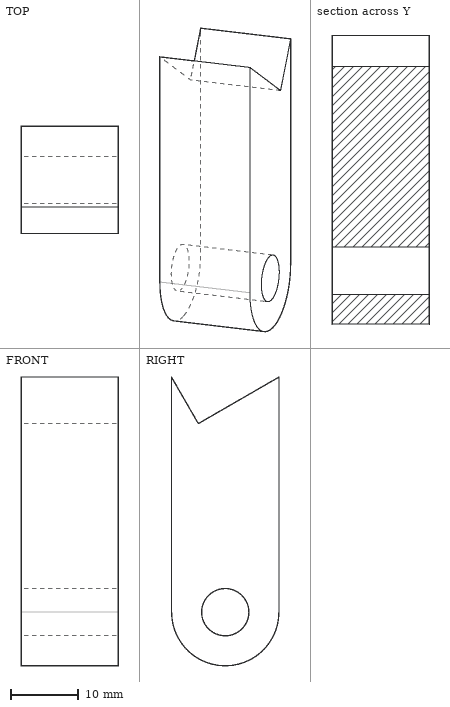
import cadquery as cq
import math

thickness = 14.5
width = 16.0
height = 43.0
hole_diameter = 7.0
notch_slope_angle = 30.0

foot_radius = width / 2
tip_z = height - foot_radius

notch_slope = math.radians(notch_slope_angle)
long_face_length = width * math.cos(notch_slope)
notch_y = foot_radius - long_face_length * math.cos(notch_slope)
notch_z = tip_z - long_face_length * math.sin(notch_slope)


def make_body():
    """Bar with a half-round foot and a lopsided V notch across its top."""
    return (
        cq.Workplane("YZ")
        .moveTo(-foot_radius, 0)
        .threePointArc((0, -foot_radius), (foot_radius, 0))
        .lineTo(foot_radius, tip_z)
        .lineTo(notch_y, notch_z)
        .lineTo(-foot_radius, tip_z)
        .close()
        .extrude(thickness / 2, both=True)
    )


def make_pivot_hole():
    """Cylinder along X that cuts the pivot hole right through."""
    return cq.Workplane("YZ").circle(hole_diameter / 2).extrude(thickness / 2, both=True)


result = make_body().cut(make_pivot_hole())